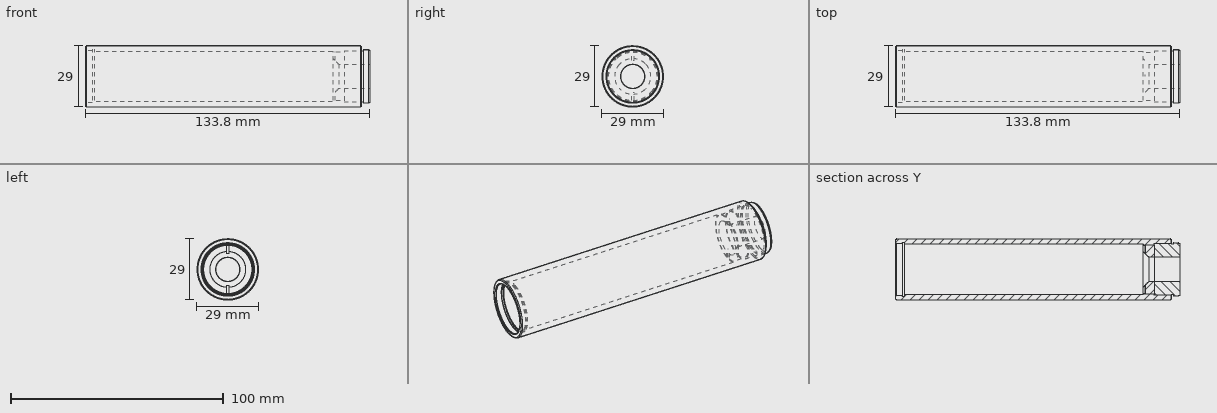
import cadquery as cq

overall_length = 133.8

tube_length = 129.8
tube_radius = 14.5
tube_edge_length = 0.5
tube_edge_depth = 0.4
bore_radius = 11.8
seat_radius = 11.4
mouth_radius = 12.2
mouth_depth = 4.1
mouth_chamfer = 0.4
relief_radius = 12.6
relief_width = 1.0

flange_radius = 12.6
flange_start = 130.8
flange_edge_length = 0.8
flange_edge_depth = 0.4
neck_radius = 12.0
socket_depth = 8.0
through_radius = 5.6

ring_length = 5.4
cone_mouth_radius = 8.4
slot_width = 1.2
slot_depth = 1.0

relief_start = mouth_depth - relief_width
plug_start = tube_length - socket_depth
ring_start = plug_start - ring_length
cone_depth = cone_mouth_radius - through_radius


def revolve_about_x(outline):
    """Turn a closed outline of (x, radius) points about the X axis."""
    return cq.Workplane("XY").polyline(outline).close().revolve(360, (0, 0, 0), (1, 0, 0))


def make_housing():
    """Long tube with a grooved mouth at -X, then a bore, a ring seat and a plug socket at +X."""
    return revolve_about_x([
        (0, mouth_radius + mouth_chamfer),
        (0, tube_radius - tube_edge_depth),
        (tube_edge_length, tube_radius),
        (tube_length - tube_edge_length, tube_radius),
        (tube_length, tube_radius - tube_edge_depth),
        (tube_length, neck_radius),
        (plug_start, neck_radius),
        (plug_start, seat_radius),
        (ring_start, seat_radius),
        (ring_start, bore_radius),
        (mouth_depth, bore_radius),
        (mouth_depth, relief_radius),
        (relief_start, relief_radius),
        (relief_start, mouth_radius),
        (mouth_chamfer, mouth_radius),
    ])


def make_end_plug():
    """Hollow plug whose flange stands clear of the tube end."""
    return revolve_about_x([
        (plug_start, through_radius),
        (plug_start, neck_radius),
        (flange_start, neck_radius),
        (flange_start, flange_radius),
        (overall_length - flange_edge_length, flange_radius),
        (overall_length, flange_radius - flange_edge_depth),
        (overall_length, through_radius),
    ])


def make_slotted_ring():
    """Ring with a conical mouth and a pair of driver slots across its -X face."""
    ring = revolve_about_x([
        (ring_start, cone_mouth_radius),
        (ring_start, seat_radius),
        (plug_start, seat_radius),
        (plug_start, through_radius),
        (ring_start + cone_depth, through_radius),
    ])
    slot = cq.Workplane("XY").box(
        slot_depth, slot_width, 2 * seat_radius, centered=(False, True, True)
    ).translate((ring_start, 0, 0))
    return ring.cut(slot)


housing = make_housing()
end_plug = make_end_plug()
slotted_ring = make_slotted_ring()

result = cq.Compound.makeCompound([housing.val(), end_plug.val(), slotted_ring.val()])